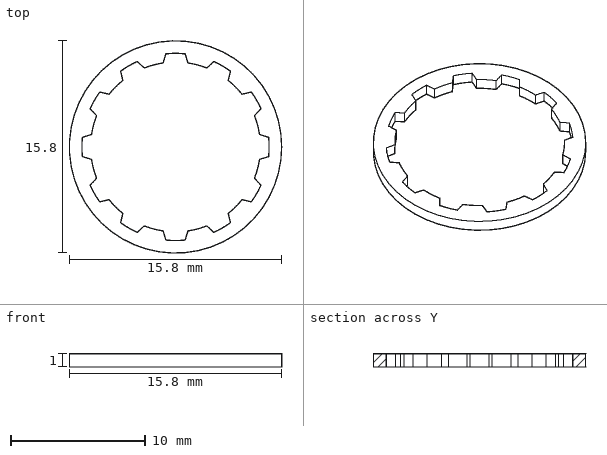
import cadquery as cq
import math

outer_diameter = 15.8
thickness = 1.0
bore_radius = 6.3
slot_floor_radius = 6.95
slot_count = 12
slot_floor_width = 1.42
slot_mouth_width = 1.83


def half_angle(width, radius):
    """Half of the angle that a chord of this width spans at this radius."""
    return math.asin(width / 2 / radius)


def polar_point(radius, angle):
    return (radius * math.cos(angle), radius * math.sin(angle))


def splined_bore():
    """Solid filling the bore and its slots, bounded by arcs and straight flanks."""
    pitch = 2 * math.pi / slot_count
    floor_half = half_angle(slot_floor_width, slot_floor_radius)
    mouth_half = half_angle(slot_mouth_width, bore_radius)
    outline = cq.Workplane("XY").moveTo(*polar_point(bore_radius, -mouth_half))
    for index in range(slot_count):
        middle = index * pitch
        outline = outline.lineTo(*polar_point(slot_floor_radius, middle - floor_half))
        outline = outline.threePointArc(
            polar_point(slot_floor_radius, middle),
            polar_point(slot_floor_radius, middle + floor_half),
        )
        outline = outline.lineTo(*polar_point(bore_radius, middle + mouth_half))
        outline = outline.threePointArc(
            polar_point(bore_radius, middle + pitch / 2),
            polar_point(bore_radius, middle + pitch - mouth_half),
        )
    return outline.close().extrude(thickness)


disc = cq.Workplane("XY").circle(outer_diameter / 2).extrude(thickness)
result = disc.cut(splined_bore())